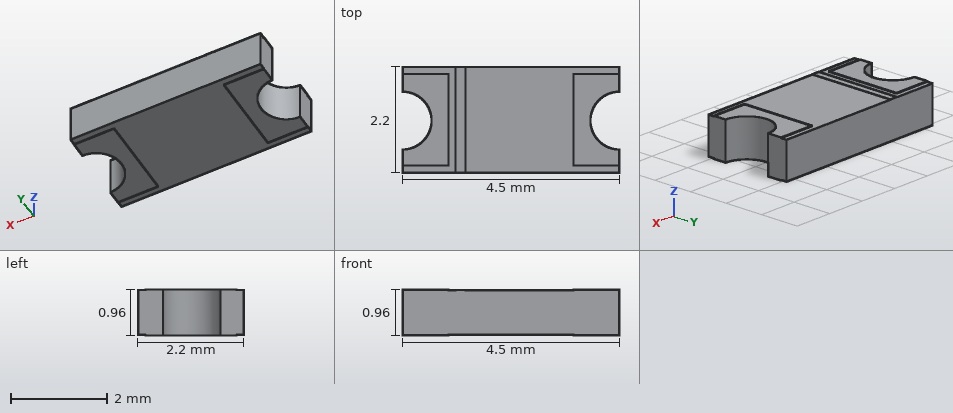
import cadquery as cq

length = 4.5
width = 2.2
height = 0.96

pad_thickness = 0.015
pad_length = 0.95
pad_width = 1.9

notch_radius = 0.6
notch_center_y = -0.015

stripe_offset = 1.1
stripe_length = 0.202
stripe_thickness = 0.005

body_height = height - 2 * pad_thickness
body_top = body_height / 2


def make_body():
    return cq.Workplane("XY").box(length, width, body_height)


def make_pad_pair(side):
    """Pads above and below one end, made as one block running through the body."""
    center_x = side * (length - pad_length) / 2
    return cq.Workplane("XY").box(pad_length, pad_width, height).translate((center_x, 0, 0))


def make_stripe():
    center_x = -length / 2 + stripe_offset + stripe_length / 2
    return (
        cq.Workplane("XY", origin=(center_x, 0, body_top))
        .rect(stripe_length, width)
        .extrude(stripe_thickness)
    )


def make_notch(side):
    center = (side * length / 2, notch_center_y, 0)
    return cq.Workplane("XY").cylinder(height, notch_radius).translate(center)


result = make_body().union(make_stripe())
for end in (-1, 1):
    result = result.union(make_pad_pair(end)).cut(make_notch(end))